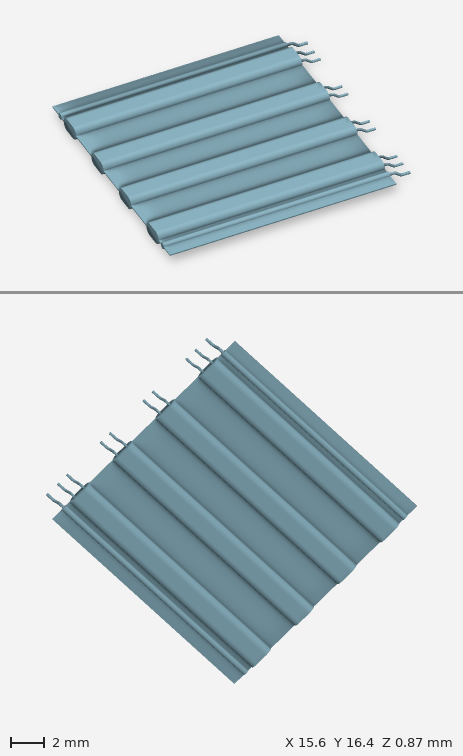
import cadquery as cq
import math

overall_length = 16.38
tail_length = 1.4
cable_length = overall_length - tail_length

sheet_width = 15.6
sheet_thickness = 0.08

pair_count = 4
pair_pitch = 3.65
wire_spacing = 0.79
jacket_height = 0.87
jacket_width = wire_spacing + jacket_height

drain_offset = 6.8
drain_jacket_diameter = 0.41

signal_tail_diameter = 0.16
drain_tail_diameter = 0.18
tail_root_length = 0.28
tail_drop = 0.33
bend_radius = 0.33
bend_angle = math.radians(38)


def along_cable(outline):
    """Extrude an outline on the XZ plane over the cable length, from Y = 0 to +Y."""
    return outline.extrude(-cable_length)


def tail(x, diameter):
    """Bare wire leaving the rear face at x and stepping down to the lower level."""
    bend_y = bend_radius * math.sin(bend_angle)
    bend_z = bend_radius * (1 - math.cos(bend_angle))
    half_bend_y = bend_radius * math.sin(bend_angle / 2)
    half_bend_z = bend_radius * (1 - math.cos(bend_angle / 2))
    slant_z = tail_drop - 2 * bend_z
    slant_y = slant_z / math.tan(bend_angle)

    upper_bend_start = cable_length + tail_root_length
    upper_bend_end = upper_bend_start + bend_y
    lower_bend_start = upper_bend_end + slant_y
    lower_bend_end = lower_bend_start + bend_y

    path = (
        cq.Workplane("YZ", origin=(x, 0, 0))
        .moveTo(cable_length, 0)
        .lineTo(upper_bend_start, 0)
        .threePointArc((upper_bend_start + half_bend_y, -half_bend_z), (upper_bend_end, -bend_z))
        .lineTo(lower_bend_start, bend_z - tail_drop)
        .threePointArc((lower_bend_end - half_bend_y, half_bend_z - tail_drop), (lower_bend_end, -tail_drop))
        .lineTo(overall_length, -tail_drop)
    )
    section = cq.Workplane("XZ", origin=(x, cable_length, 0)).circle(diameter / 2)
    return section.sweep(path)


result = along_cable(cq.Workplane("XZ").rect(sheet_width, sheet_thickness))

for index in range(pair_count):
    pair_x = (index - (pair_count - 1) / 2) * pair_pitch
    jacket = along_cable(cq.Workplane("XZ").center(pair_x, 0).slot2D(jacket_width, jacket_height))
    result = result.union(jacket)
    for side in (-1, 1):
        result = result.union(tail(pair_x + side * wire_spacing / 2, signal_tail_diameter))

for side in (-1, 1):
    drain_x = side * drain_offset
    drain_jacket = along_cable(cq.Workplane("XZ").center(drain_x, 0).circle(drain_jacket_diameter / 2))
    result = result.union(drain_jacket).union(tail(drain_x, drain_tail_diameter))